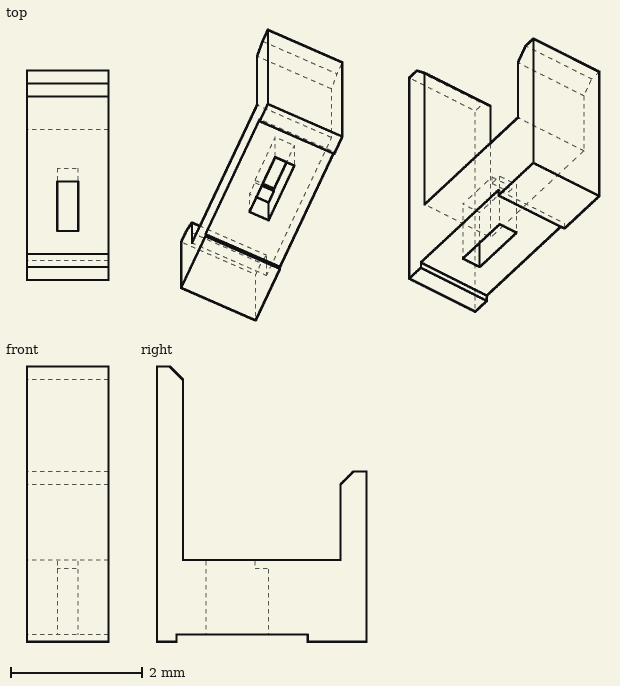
import cadquery as cq

width = 1.25
length = 3.2
tall_height = 4.2
short_height = 2.6

wall = 0.4
floor_height = 1.25
chamfer = 0.2

foot_length = 0.3
relief_length = 2.0
relief_depth = 0.11

slot_width = 0.32
slot_length = 0.75
slot_start = 0.75

lip_thickness = 0.135
undercut_length = 0.2

front = -length / 2
back = length / 2


def make_channel():
    """U-shaped channel with unequal walls, extruded symmetrically along X."""
    tall_inner = front + wall
    short_inner = back - wall
    profile = [
        (front, 0),
        (back, 0),
        (back, short_height),
        (short_inner + chamfer, short_height),
        (short_inner, short_height - chamfer),
        (short_inner, floor_height),
        (tall_inner, floor_height),
        (tall_inner, tall_height - chamfer),
        (tall_inner - chamfer, tall_height),
        (front, tall_height),
    ]
    return cq.Workplane("YZ").polyline(profile).close().extrude(width / 2, both=True)


def make_relief():
    """Shallow cut across the full width of the underside."""
    relief = cq.Workplane("XY").box(width, relief_length, relief_depth, centered=(True, False, False))
    return relief.translate((0, front + foot_length, 0))


def make_slot():
    """Rectangular opening through the whole floor."""
    slot = cq.Workplane("XY").box(slot_width, slot_length, floor_height, centered=(True, False, False))
    return slot.translate((0, front + slot_start, 0))


def make_undercut():
    """Lengthening of the slot towards +Y, leaving a thin lip at the floor surface."""
    undercut_height = floor_height - lip_thickness
    undercut = cq.Workplane("XY").box(
        slot_width, undercut_length, undercut_height, centered=(True, False, False)
    )
    return undercut.translate((0, front + slot_start + slot_length, 0))


result = make_channel().cut(make_relief()).cut(make_slot()).cut(make_undercut())